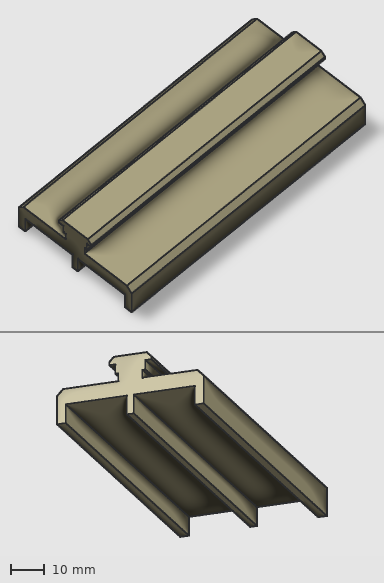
import cadquery as cq

length = 100.0
width = 47.0
height = 19.0

deck_top = 11.0
deck_underside = 6.0
deck_chamfer = 2.0
side_wall = 2.8
center_rib_width = 2.2

neck_width = 7.8
shoulder_width = 9.7
shoulder_bottom = 13.5
head_width = 13.5
head_bottom = 16.5
head_chamfer = 1.5


def extrude_along_y(profile):
    """Extrude an XZ profile over the full length, centred on Y."""
    return profile.extrude(length / 2, both=True)


def block(block_width, bottom, top, center_x=0.0):
    """Full-length rectangular bar between two heights."""
    profile = (
        cq.Workplane("XZ")
        .center(center_x, (bottom + top) / 2)
        .rect(block_width, top - bottom)
    )
    return extrude_along_y(profile)


def chamfered_block(block_width, bottom, top, chamfer):
    """Full-length bar with both upper long edges chamfered."""
    return block(block_width, bottom, top).edges("|Y and >Z").chamfer(chamfer)


def base_channel():
    """Chamfered deck with two side walls and a central rib below it."""
    base = chamfered_block(width, 0, deck_top, deck_chamfer)
    bay_width = (width - center_rib_width) / 2 - side_wall
    bay_center = (center_rib_width + bay_width) / 2
    for side in (-1, 1):
        base = base.cut(block(bay_width, 0, deck_underside, side * bay_center))
    return base


def rail():
    """Stepped rail: narrow neck, wider shoulder and overhanging head."""
    neck = block(neck_width, deck_underside, height)
    shoulder = block(shoulder_width, shoulder_bottom, height - head_chamfer)
    head = chamfered_block(head_width, head_bottom, height, head_chamfer)
    return neck.union(shoulder).union(head)


result = base_channel().union(rail())